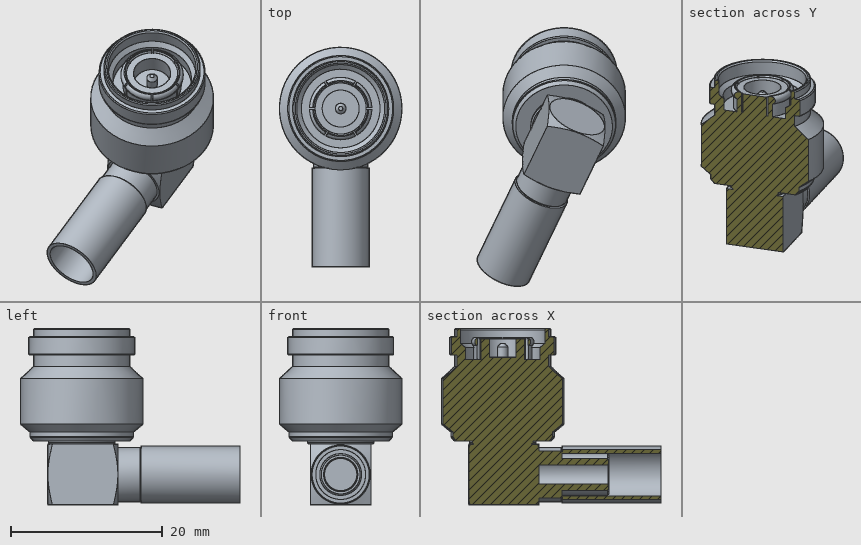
import cadquery as cq
import math


BLOCK_WIDTH = 8.0
BLOCK_REAR = 4.5
BLOCK_FRONT = -4.8
BLOCK_FACE_RADIUS = 3.9
CORNER_CHAMFER_DEPTH = 0.63
BLOCK_TOP = BLOCK_WIDTH / 2

COLLAR_RADIUS = 4.42
COLLAR_TOP = 4.42
COLLAR_CHAMFER = 0.2

NUT_TOP = 19.3
NUT_RADIUS = 8.1
NUT_BODY_BOTTOM = 6.65
NUT_BODY_TOP = 12.65
NUT_BASE_RADIUS = 6.85
NUT_BASE_TOP = 5.6
NUT_BASE_TAPER_TOP = 5.05
NUT_BASE_TAPER_RADIUS = 6.78
NUT_BASE_CHAMFER_TOP = 4.87
NUT_BASE_CHAMFER = 0.4
NECK_RADIUS = 6.35
NECK_BOTTOM = 14.28
BAND_RADIUS = 7.0
BAND_BOTTOM = 15.75
BAND_TOP = 18.2
EDGE_CHAMFER = 0.15

MOUTH_RADIUS = 5.8
MOUTH_CHAMFER = 0.2
MOUTH_BOTTOM = 17.3
BORE_RADIUS = 5.19
BORE_TOP = 16.75
BORE_FLOOR = 15.2

COLLET_RADIUS = 3.85
COLLET_BULGE_RADIUS = 4.12
COLLET_RIM_RADIUS = 3.7
COLLET_TOP = 18.1
COLLET_BULGE_BOTTOM = 17.0
COLLET_MOUTH_CHAMFER = 0.18
SLOT_COUNT = 6
SLOT_WIDTH = 0.25

INSULATOR_RADIUS = 3.37
INSULATOR_TOP = 17.9
INSULATOR_BORE_RADIUS = 2.44
INSULATOR_FLOOR = 15.5
PIN_RADIUS = 0.7
PIN_TIP_RADIUS = 0.28
PIN_SHOULDER = 16.85
PIN_TOP = 17.3

OUTLET_RADIUS = 3.6
OUTLET_END = 7.85
OUTLET_CHAMFER = 0.15
SLEEVE_RADIUS = 3.77
SLEEVE_BORE_RADIUS = 3.29
SLEEVE_END = 20.9
STEM_RADIUS = 2.76
STEM_BORE_RADIUS = 2.13
STEM_END = 14.0
STEM_OUTER_CHAMFER = 0.2
STEM_INNER_CHAMFER = 0.13


def revolve_about_z(points):
    """Turn a closed outline of (radius, z) points around the nut axis."""
    return cq.Workplane("XZ").polyline(points).close().revolve(360, (0, 0), (0, 1))


def revolve_about_outlet(points):
    """Turn a closed outline of (radius, distance along -Y) points around the outlet axis."""
    outline = [(radius, -distance) for radius, distance in points]
    return cq.Workplane("XY").polyline(outline).close().revolve(360, (0, 0), (0, 1))


def make_block():
    """Square elbow block with its corners turned to a shallow cone at both ends."""
    length = BLOCK_REAR - BLOCK_FRONT
    middle = (BLOCK_REAR + BLOCK_FRONT) / 2
    block = cq.Workplane("XY").box(BLOCK_WIDTH, length, BLOCK_WIDTH).translate((0, middle, 0))
    corner_radius = BLOCK_WIDTH / math.sqrt(2)
    turned_envelope = revolve_about_outlet([
        (0, -BLOCK_REAR),
        (BLOCK_FACE_RADIUS, -BLOCK_REAR),
        (corner_radius, -BLOCK_REAR + CORNER_CHAMFER_DEPTH),
        (corner_radius, -BLOCK_FRONT - CORNER_CHAMFER_DEPTH),
        (BLOCK_FACE_RADIUS, -BLOCK_FRONT),
        (0, -BLOCK_FRONT),
    ])
    return block.intersect(turned_envelope)


def make_collar():
    """Round collar that carries the nut on top of the block."""
    return revolve_about_z([
        (0, BLOCK_TOP),
        (COLLAR_RADIUS - COLLAR_CHAMFER, BLOCK_TOP),
        (COLLAR_RADIUS, BLOCK_TOP + COLLAR_CHAMFER),
        (COLLAR_RADIUS, COLLAR_TOP),
        (0, COLLAR_TOP),
    ])


def make_nut():
    """Coupling nut with its raised band and stepped open mouth."""
    return revolve_about_z([
        (0, COLLAR_TOP),
        (NUT_BASE_TAPER_RADIUS - NUT_BASE_CHAMFER, COLLAR_TOP),
        (NUT_BASE_TAPER_RADIUS, NUT_BASE_CHAMFER_TOP),
        (NUT_BASE_RADIUS, NUT_BASE_TAPER_TOP),
        (NUT_BASE_RADIUS, NUT_BASE_TOP),
        (NUT_RADIUS, NUT_BODY_BOTTOM),
        (NUT_RADIUS, NUT_BODY_TOP),
        (NECK_RADIUS, NECK_BOTTOM),
        (NECK_RADIUS, BAND_BOTTOM),
        (BAND_RADIUS - EDGE_CHAMFER, BAND_BOTTOM),
        (BAND_RADIUS, BAND_BOTTOM + EDGE_CHAMFER),
        (BAND_RADIUS, BAND_TOP - EDGE_CHAMFER),
        (BAND_RADIUS - EDGE_CHAMFER, BAND_TOP),
        (NECK_RADIUS, BAND_TOP),
        (NECK_RADIUS, NUT_TOP - EDGE_CHAMFER),
        (NECK_RADIUS - EDGE_CHAMFER, NUT_TOP),
        (MOUTH_RADIUS + MOUTH_CHAMFER, NUT_TOP),
        (MOUTH_RADIUS, NUT_TOP - MOUTH_CHAMFER),
        (MOUTH_RADIUS, MOUTH_BOTTOM),
        (BORE_RADIUS, BORE_TOP),
        (BORE_RADIUS, BORE_FLOOR),
        (0, BORE_FLOOR),
    ])


def make_collet():
    """Spring collet with a rounded lip, split into equal fingers by radial slots."""
    lip_height = (COLLET_TOP + COLLET_BULGE_BOTTOM) / 2
    collet = (
        cq.Workplane("XZ")
        .moveTo(INSULATOR_RADIUS, BORE_FLOOR)
        .lineTo(COLLET_RADIUS, BORE_FLOOR)
        .lineTo(COLLET_RADIUS, COLLET_BULGE_BOTTOM)
        .threePointArc((COLLET_BULGE_RADIUS, lip_height), (COLLET_RIM_RADIUS, COLLET_TOP))
        .lineTo(INSULATOR_RADIUS + COLLET_MOUTH_CHAMFER, COLLET_TOP)
        .lineTo(INSULATOR_RADIUS, COLLET_TOP - COLLET_MOUTH_CHAMFER)
        .close()
        .revolve(360, (0, 0), (0, 1))
    )
    slot = cq.Workplane("XY").box(
        COLLET_BULGE_RADIUS + SLOT_WIDTH,
        SLOT_WIDTH,
        COLLET_TOP - BORE_FLOOR,
        centered=(False, True, False),
    ).translate((0, 0, BORE_FLOOR))
    for index in range(SLOT_COUNT):
        collet = collet.cut(slot.rotate((0, 0, 0), (0, 0, 1), index * 360 / SLOT_COUNT))
    return collet


def make_insulator():
    """Cup of insulation standing inside the collet, open at the top."""
    return revolve_about_z([
        (0, BORE_FLOOR),
        (INSULATOR_RADIUS, BORE_FLOOR),
        (INSULATOR_RADIUS, INSULATOR_TOP),
        (INSULATOR_BORE_RADIUS, INSULATOR_TOP),
        (INSULATOR_BORE_RADIUS, INSULATOR_FLOOR),
        (0, INSULATOR_FLOOR),
    ])


def make_pin():
    """Centre contact with a tapered tip."""
    return revolve_about_z([
        (0, BORE_FLOOR),
        (PIN_RADIUS, BORE_FLOOR),
        (PIN_RADIUS, PIN_SHOULDER),
        (PIN_TIP_RADIUS, PIN_TOP),
        (0, PIN_TOP),
    ])


def make_outlet():
    """Cable outlet: a spigot on the block that carries the crimp sleeve and the inner stem."""
    block_face = -BLOCK_FRONT
    return revolve_about_outlet([
        (0, 0),
        (OUTLET_RADIUS, 0),
        (OUTLET_RADIUS, OUTLET_END - OUTLET_CHAMFER),
        (OUTLET_RADIUS - OUTLET_CHAMFER, OUTLET_END),
        (SLEEVE_RADIUS, OUTLET_END),
        (SLEEVE_RADIUS, SLEEVE_END),
        (SLEEVE_BORE_RADIUS, SLEEVE_END),
        (SLEEVE_BORE_RADIUS, OUTLET_END),
        (STEM_RADIUS, OUTLET_END),
        (STEM_RADIUS, STEM_END - STEM_OUTER_CHAMFER),
        (STEM_RADIUS - STEM_OUTER_CHAMFER, STEM_END),
        (STEM_BORE_RADIUS + STEM_INNER_CHAMFER, STEM_END),
        (STEM_BORE_RADIUS, STEM_END - STEM_INNER_CHAMFER),
        (STEM_BORE_RADIUS, block_face),
        (0, block_face),
    ])


result = (
    make_block()
    .union(make_collar())
    .union(make_nut())
    .union(make_collet())
    .union(make_insulator())
    .union(make_pin())
    .union(make_outlet())
)